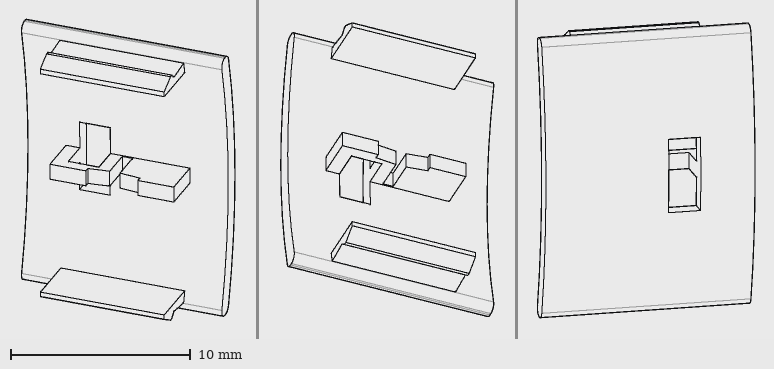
import cadquery as cq
import math

height = 16.2
plate_width = 12.0
plate_thickness = 1.04
outer_radius = 31.43
back_edge_radius = 0.5
front_edge_radius = 0.42

hook_width = 7.42
hook_inner_z = 6.87
hook_root_z = 7.6
hook_neck_z = 7.37
hook_peak_z = 7.66
hook_tip_z = 7.16
hook_neck_y = -3.43
hook_peak_back_y = -3.77
hook_peak_front_y = -3.99
hook_tip_y = -4.92

rib_height = 0.94
rib_front_y = -3.48
rib_step_depth = 0.3
rib_recess_depth = 0.45
rib_gap_floor_y = -1.13
rib_recess_width = 3.11
rib_gap_width = 0.62

window_left_x = -2.88
window_width = 1.83
window_height = 4.25
window_front_y = -2.79

inner_radius = outer_radius - plate_thickness


def arc_y(radius, z):
    """Y at height z on a circle sharing the plate's centre of curvature."""
    return math.sqrt(radius**2 - z**2) - outer_radius


def block(x_min, x_max, y_min, y_max, block_height):
    """Box centred on z = 0."""
    return (
        cq.Workplane("XY")
        .box(x_max - x_min, y_max - y_min, block_height, centered=(False, False, True))
        .translate((x_min, y_min, 0))
    )


def make_plate():
    half_height = height / 2
    back_y = arc_y(outer_radius, half_height)
    front_y = arc_y(inner_radius, half_height)
    plate = (
        cq.Workplane("YZ")
        .moveTo(back_y, -half_height)
        .threePointArc((0, 0), (back_y, half_height))
        .lineTo(front_y, half_height)
        .threePointArc((-plate_thickness, 0), (front_y, -half_height))
        .close()
        .extrude(plate_width / 2, both=True)
    )
    for end in (">Z", "<Z"):
        plate = plate.faces(end).edges(">Y").fillet(back_edge_radius)
        plate = plate.faces(end).edges("<Y").fillet(front_edge_radius)
    return plate


def make_top_hook():
    root_y = arc_y(outer_radius - plate_thickness / 2, hook_root_z)
    outline = [
        (root_y, hook_inner_z),
        (root_y, hook_root_z),
        (hook_neck_y, hook_neck_z),
        (hook_peak_back_y, hook_peak_z),
        (hook_peak_front_y, hook_peak_z),
        (hook_tip_y, hook_tip_z),
        (hook_tip_y, hook_inner_z),
    ]
    return cq.Workplane("YZ").polyline(outline).close().extrude(hook_width / 2, both=True)


def make_rib():
    half_width = hook_width / 2
    half_recess = rib_recess_width / 2
    half_gap = rib_gap_width / 2
    step_y = rib_front_y + rib_step_depth
    recess_y = rib_front_y + rib_recess_depth
    root_y = -plate_thickness / 2
    rib = block(-half_width, half_width, rib_front_y, root_y, rib_height)
    recess_outline = [
        (-half_recess, rib_front_y),
        (-half_recess, step_y),
        (-half_gap, recess_y),
        (half_gap, recess_y),
        (half_recess, step_y),
        (half_recess, rib_front_y),
    ]
    recess = cq.Workplane("XY").polyline(recess_outline).close().extrude(rib_height / 2, both=True)
    gap = block(-half_gap, half_gap, rib_front_y, rib_gap_floor_y, rib_height)
    return rib.cut(recess).cut(gap)


top_hook = make_top_hook()
bottom_hook = top_hook.mirror("XY")
window = block(window_left_x, window_left_x + window_width, window_front_y, 0, window_height)

result = make_plate().union(top_hook).union(bottom_hook).union(make_rib()).cut(window)